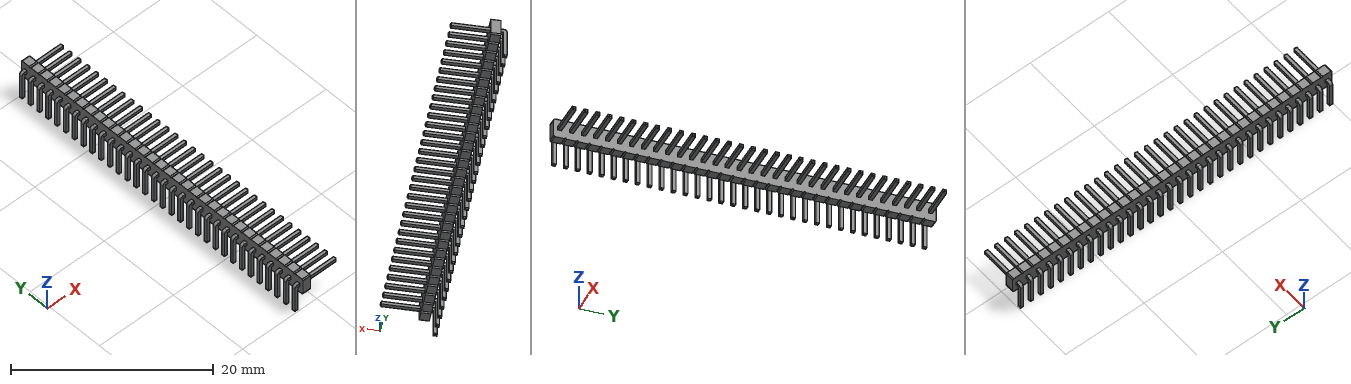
import cadquery as cq

pin_count = 32
row_length = 40.65
pitch = row_length / pin_count

total_depth = 5.7
total_height = 4.5

housing_width = 1.0
housing_height = 2.1
housing_left = 0.7
notch_depth = 0.125

pin_size = 0.395
bend_outer_radius = 0.385
tip_chamfer = 0.1

housing_top = housing_height / 2
leg_bottom = housing_top - total_height
pin_top = pin_size / 2


def make_housing_cell(y_center):
    """One housing cell, chamfered along the four edges that lie at its Y ends."""
    cell = cq.Workplane("XY").box(housing_width, pitch, housing_height)
    cell = cell.edges("|X").chamfer(notch_depth)
    return cell.translate((housing_left + housing_width / 2, y_center, 0))


def make_pin():
    """One L-shaped pin centred on Y = 0, rounded at the bend and chamfered at both tips."""
    profile = (
        cq.Workplane("XZ")
        .moveTo(0, leg_bottom)
        .lineTo(0, pin_top)
        .lineTo(total_depth, pin_top)
        .lineTo(total_depth, -pin_top)
        .lineTo(pin_size, -pin_top)
        .lineTo(pin_size, leg_bottom)
        .close()
    )
    pin = profile.extrude(pin_size / 2, both=True)
    outer_corner = cq.selectors.NearestToPointSelector((0, 0, pin_top))
    pin = pin.edges("|Y").edges(outer_corner).fillet(bend_outer_radius)
    pin = pin.faces(">X").chamfer(tip_chamfer)
    return pin.faces("<Z").chamfer(tip_chamfer)


pin = make_pin()
bodies = []
for index in range(pin_count):
    y_center = (index - (pin_count - 1) / 2) * pitch
    bodies.append(make_housing_cell(y_center).val())
    bodies.append(pin.translate((0, y_center, 0)).val())

result = cq.Workplane("XY").newObject([bodies[0].fuse(*bodies[1:]).clean()])